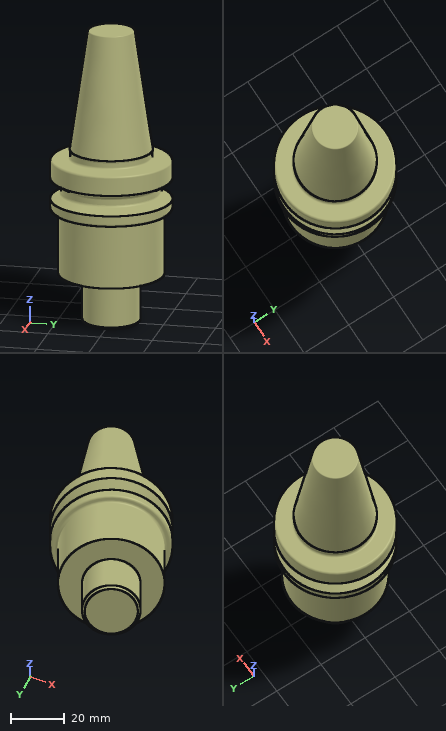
import cadquery as cq
import math

total_height = 114.4
body_bottom = 19.1
flange_bottom = 44.0
flange_top = 64.1
gauge_height = 66.0
neck_top = 66.7
taper_bottom = 67.7

pin_diameter = 22.0
body_diameter = 40.0
flange_diameter = 46.0
groove_diameter = 37.8
neck_diameter = 30.8
gauge_diameter = 31.8

taper_ratio = 7 / 24
groove_bottom_edge = 48.4
groove_top_edge = 56.4
groove_wall_angle = 30
groove_fillet = 1.0
flange_fillet = 1.0
root_fillet = 1.0
pin_chamfer = 1.0
tip_fillet = 0.5


def taper_radius(height):
    """Radius of the conical shank at a given height."""
    return (gauge_diameter - taper_ratio * (height - gauge_height)) / 2


def turned(points):
    """Revolve a closed (radius, height) outline about the Z axis."""
    return cq.Workplane("XZ").polyline(points).close().revolve(360, (0, 0, 0), (0, 1, 0))


def ring_edges(solid, radius, height):
    """Select the circular edge of a given radius and height."""
    tolerance = 0.01

    def matches(edge):
        same_height = abs(edge.Center().z - height) < tolerance
        return edge.geomType() == "CIRCLE" and same_height and abs(edge.radius() - radius) < tolerance

    return solid.newObject([edge for edge in solid.edges().vals() if matches(edge)])


pin_radius = pin_diameter / 2
body_radius = body_diameter / 2
flange_radius = flange_diameter / 2
groove_radius = groove_diameter / 2
neck_radius = neck_diameter / 2
tip_radius = taper_radius(total_height)
groove_wall_rise = (flange_radius - groove_radius) * math.tan(math.radians(groove_wall_angle))
groove_floor_bottom = groove_bottom_edge + groove_wall_rise
groove_floor_top = groove_top_edge - groove_wall_rise

result = turned([
    (0, 0),
    (pin_radius, 0),
    (pin_radius, body_bottom),
    (body_radius, body_bottom),
    (body_radius, flange_bottom),
    (flange_radius, flange_bottom),
    (flange_radius, groove_bottom_edge),
    (groove_radius, groove_floor_bottom),
    (groove_radius, groove_floor_top),
    (flange_radius, groove_top_edge),
    (flange_radius, flange_top),
    (neck_radius, flange_top),
    (neck_radius, neck_top),
    (taper_radius(taper_bottom), taper_bottom),
    (tip_radius, total_height),
    (0, total_height),
])

result = ring_edges(result, pin_radius, 0).chamfer(pin_chamfer)

rounded_rings = [
    (body_radius, flange_bottom, root_fillet),
    (flange_radius, flange_bottom, flange_fillet),
    (groove_radius, groove_floor_bottom, groove_fillet),
    (groove_radius, groove_floor_top, groove_fillet),
    (flange_radius, flange_top, flange_fillet),
    (neck_radius, flange_top, root_fillet),
    (tip_radius, total_height, tip_fillet),
]
for ring_radius, ring_height, fillet_size in rounded_rings:
    result = ring_edges(result, ring_radius, ring_height).fillet(fillet_size)